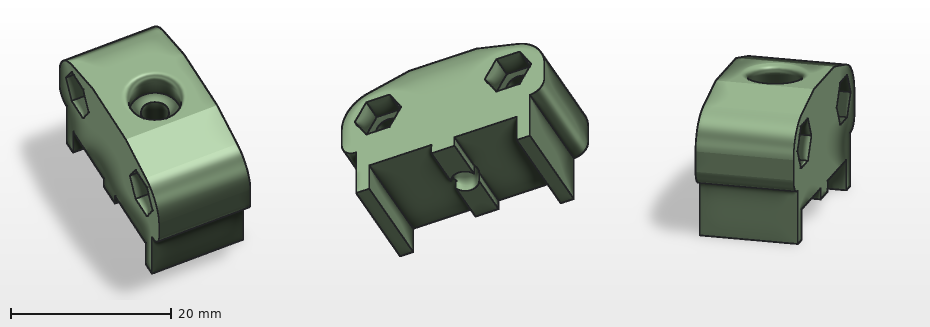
import cadquery as cq
import math

width = 28.0
depth = 12.7
height = 18.0
half_width = width / 2

leg_outer_x = 12.0
leg_inner_x = 10.2
underside_z = 4.0
tab_half_width = 1.6
tab_bottom_z = 2.55
shoulder_z = 7.0
lower_radius = half_width - leg_outer_x

flat_half_width = 4.65
roof_angle = math.radians(15)
upper_radius = 5.0

bolt_x = 9.0
bolt_z = 12.25
bolt_diameter = 3.5
nut_across_corners = 6.4
nut_depth = 3.0

screw_diameter = 3.5
counterbore_diameter = 6.5
counterbore_depth = 3.0
rim_radius = 1.0


def on_circle(center, radius, angle):
    return (center[0] + radius * math.cos(angle), center[1] + radius * math.sin(angle))


def mirrored(point):
    return (-point[0], point[1])


def make_body():
    upper_x = half_width - upper_radius
    roof_end_angle = math.pi / 2 - roof_angle
    roof_end_x = upper_x + upper_radius * math.cos(roof_end_angle)
    roof_end_z = height - (roof_end_x - flat_half_width) * math.tan(roof_angle)
    upper_center = (upper_x, roof_end_z - upper_radius * math.sin(roof_end_angle))
    roof_end = (roof_end_x, roof_end_z)
    upper_middle = on_circle(upper_center, upper_radius, roof_end_angle / 2)
    wall_top = (half_width, upper_center[1])

    lower_center = (leg_outer_x, shoulder_z + lower_radius)
    wall_bottom = (half_width, lower_center[1])
    lower_middle = on_circle(lower_center, lower_radius, -math.pi / 4)
    shoulder = (leg_outer_x, shoulder_z)

    lower_right = [
        (leg_outer_x, 0),
        (leg_inner_x, 0),
        (leg_inner_x, underside_z),
        (tab_half_width, underside_z),
        (tab_half_width, tab_bottom_z),
    ]
    outline = (
        cq.Workplane("XZ")
        .moveTo(-flat_half_width, height)
        .lineTo(flat_half_width, height)
        .lineTo(*roof_end)
        .threePointArc(upper_middle, wall_top)
        .lineTo(*wall_bottom)
        .threePointArc(lower_middle, shoulder)
    )
    for point in lower_right:
        outline = outline.lineTo(*point)
    for point in reversed(lower_right):
        outline = outline.lineTo(*mirrored(point))
    outline = (
        outline.lineTo(*mirrored(shoulder))
        .threePointArc(mirrored(lower_middle), mirrored(wall_bottom))
        .lineTo(*mirrored(wall_top))
        .threePointArc(mirrored(upper_middle), mirrored(roof_end))
        .close()
    )
    return outline.extrude(depth / 2, both=True)


def make_bolt_cut():
    centers = [(-bolt_x, bolt_z), (bolt_x, bolt_z)]
    holes = (
        cq.Workplane("XZ").pushPoints(centers).circle(bolt_diameter / 2).extrude(depth / 2, both=True)
    )
    pockets = (
        cq.Workplane("XZ", origin=(0, -depth / 2, 0))
        .pushPoints(centers)
        .polygon(6, nut_across_corners)
        .extrude(-nut_depth)
    )
    return holes.union(pockets)


def make_screw_cut():
    bore = counterbore_diameter / 2
    rim_center = (bore + rim_radius, height - rim_radius)
    rim_middle = on_circle(rim_center, rim_radius, 3 * math.pi / 4)
    floor_z = height - counterbore_depth
    return (
        cq.Workplane("XZ")
        .lineTo(screw_diameter / 2, 0)
        .lineTo(screw_diameter / 2, floor_z)
        .lineTo(bore, floor_z)
        .lineTo(bore, height - rim_radius)
        .threePointArc(rim_middle, (bore + rim_radius, height))
        .lineTo(0, height)
        .close()
        .revolve(360, (0, 0), (0, 1))
    )


result = make_body().cut(make_bolt_cut()).cut(make_screw_cut())